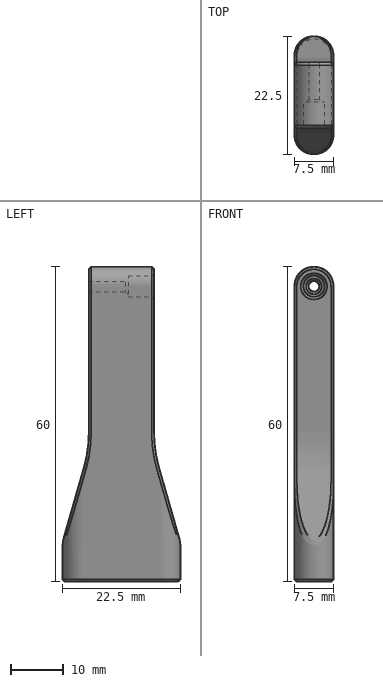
import cadquery as cq
import math

thickness = 7.5
base_width = 22.5
height = 60.0
end_radius = thickness / 2

neck_width = 12.5
flare_start = 28.5
flare_radius = 25.0
flare_angle = math.radians(16)
edge_break = 0.5

hole_height = height - end_radius
bore_diameter = 4.0
bore_depth = 5.0
through_diameter = 2.0


def flared_outline():
    """Extruded YZ silhouette: neck, tangent arc, sloped flank and wide base."""
    half_neck = neck_width / 2
    half_base = base_width / 2

    def arc_point(angle):
        y = half_neck + flare_radius * (1 - math.cos(angle))
        return y, flare_start - flare_radius * math.sin(angle)

    arc_middle = arc_point(flare_angle / 2)
    arc_end = arc_point(flare_angle)
    flank_end = arc_end[1] - (half_base - arc_end[0]) / math.tan(flare_angle)

    def mirrored(point):
        return -point[0], point[1]

    return (
        cq.Workplane("YZ")
        .moveTo(-half_neck, height)
        .lineTo(half_neck, height)
        .lineTo(half_neck, flare_start)
        .threePointArc(arc_middle, arc_end)
        .lineTo(half_base, flank_end)
        .lineTo(half_base, 0)
        .lineTo(-half_base, 0)
        .lineTo(-half_base, flank_end)
        .lineTo(*mirrored(arc_end))
        .threePointArc(mirrored(arc_middle), (-half_neck, flare_start))
        .close()
        .extrude(end_radius, both=True)
    )


def rounded_top_slab():
    """Full-width slab whose top edge is a half cylinder along Y."""
    straight_height = height - end_radius
    return (
        cq.Workplane("XZ")
        .moveTo(-end_radius, 0)
        .lineTo(-end_radius, straight_height)
        .threePointArc((0, height), (end_radius, straight_height))
        .lineTo(end_radius, 0)
        .close()
        .extrude(base_width / 2, both=True)
    )


def obround_column():
    """Vertical column with semicircular ends in plan."""
    return cq.Workplane("XY").slot2D(base_width, thickness, 90).extrude(height)


def screw_hole():
    """Revolved cutter entering from the -Y face of the neck."""
    front = -neck_width / 2
    bore_radius = bore_diameter / 2
    through_radius = through_diameter / 2
    bore_floor = front + bore_depth
    return (
        cq.Workplane("XY")
        .moveTo(0, front)
        .lineTo(bore_radius + edge_break, front)
        .lineTo(bore_radius, front + edge_break)
        .lineTo(bore_radius, bore_floor)
        .lineTo(through_radius + edge_break, bore_floor)
        .lineTo(through_radius, bore_floor + edge_break)
        .lineTo(through_radius, neck_width / 2)
        .lineTo(0, neck_width / 2)
        .close()
        .revolve(360, (0, 0, 0), (0, 1, 0))
        .translate((0, 0, hole_height))
    )


body = flared_outline().intersect(rounded_top_slab()).intersect(obround_column())

zone_half_width = thickness / 4
zone_bottom = base_width / 2
flank_zone = cq.selectors.BoxSelector(
    (-zone_half_width, -base_width, zone_bottom), (zone_half_width, base_width, hole_height)
)
base_rim = body.faces("<Z").edges()
flank_rims = body.faces(flank_zone).edges("not |X")
body = body.newObject(base_rim.vals() + flank_rims.vals()).chamfer(edge_break)

result = body.cut(screw_hole())